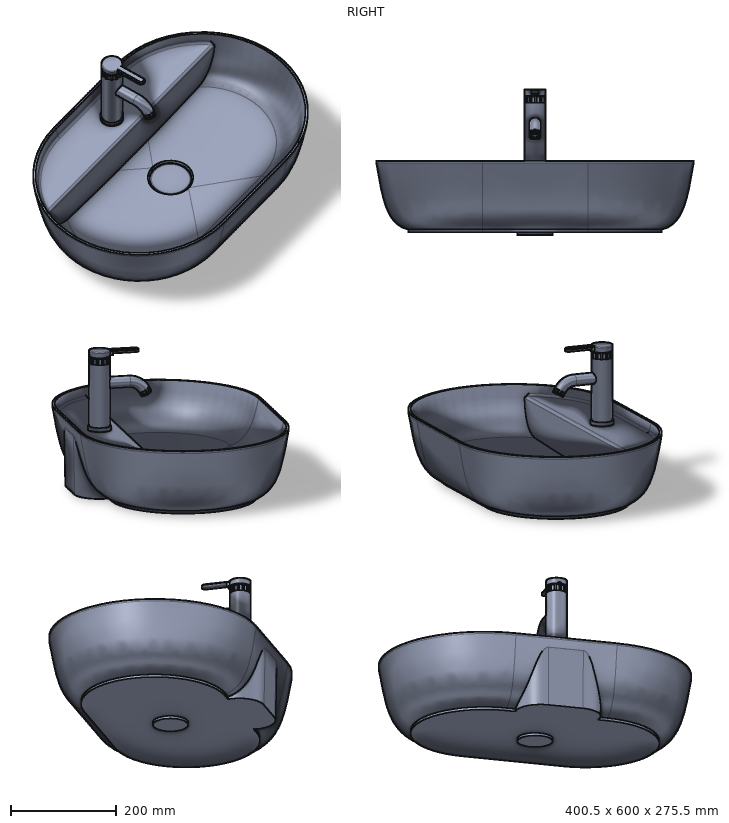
import cadquery as cq
import math

BASIN_LENGTH = 600.0
BASIN_WIDTH = 400.5
BASIN_HEIGHT = 135.0
END_RADIUS = BASIN_WIDTH / 2
END_CENTRE = BASIN_LENGTH / 2 - END_RADIUS

RIM_WIDTH = 5.0
RIM_BAND = 3.5
FOOT_INSET = 60.5
FOOT_HEIGHT = 5.5

OUTER_WALL = [(3.5, 110.0), (9.0, 83.0), (18.5, 48.0), (33.5, 21.5), (46.0, 11.0)]
INNER_WALL = [(9.5, 115.0), (20.0, 84.0), (36.0, 60.0)]
FLOOR_INSET = 60.0
FLOOR_EDGE_HEIGHT = 47.0

SHELF_HEIGHT = 115.0
SHELF_FRONT = -93.0
SHELF_FRONT_FOOT = -85.0
SHELF_EDGE_RADIUS = 5.5

PEDESTAL_FOOT_X = -195.0
PEDESTAL_TOP_X = -197.5
PEDESTAL_FRONT_X = -132.0
PEDESTAL_WIDTH = 164.5
PEDESTAL_CORNER_RADIUS = 48.0

DRAIN_DIAMETER = 79.0
DRAIN_TOP = 34.0
DRAIN_DISC_HEIGHT = 9.0
DRAIN_EDGE = 3.0
DRAIN_MOUTH_DIAMETER = 86.0
DRAIN_MOUTH_HEIGHT = 37.0
MOUTH_STRAIGHT = 0.5
TAIL_DIAMETER = 66.5
TAIL_DROP = 5.5

TAP_X = -138.0
TAP_DIAMETER = 40.0
TAP_TOP = 256.0
TAP_SOCKET_DIAMETER = 36.5
TAP_SLOT_DEPTH = 11.5
TAP_SLOT_WIDTH = 3.5
TAP_SLOT_COUNT = 12
TAP_SLOT_PHASE = 5.0

BASE_RING_DIAMETER = 44.0
BASE_RING_HEIGHT = 8.0
BASE_RING_EDGE = 1.0

CAP_BOTTOM = 258.0
CAP_TOP = 270.0
CAP_EDGE = 2.0
NOTCH_DIAMETER = 6.0
NOTCH_DEPTH = 6.0
LEVER_WIDTH = 15.0
LEVER_THICKNESS = 7.0
LEVER_EDGE = 2.5
LEVER_TIP_X = -62.0
LEVER_ROOT_X = -113.5
LEVER_ROOT_DROP = 3.0

SPOUT_DIAMETER = 22.0
SPOUT_HEIGHT = 206.0
SPOUT_START_X = -126.0
SPOUT_BEND_X = -80.5
SPOUT_BEND_RADIUS = 33.0
SPOUT_BEND_ANGLE = 60.0
SPOUT_TAIL = 6.0
SPOUT_SLOT_DEPTH = 5.5
SPOUT_SLOT_WIDTH = 2.5
SPOUT_SLOT_COUNT = 8

AERATOR_DIAMETER = 17.5
AERATOR_BORE = 16.0
AERATOR_BORE_DEPTH = 2.5
AERATOR_LIP = 3.5


def cylinder(diameter, bottom, top, x=0.0):
    """Upright cylinder on the XZ symmetry plane."""
    return cq.Workplane("XY", origin=(x, 0, bottom)).circle(diameter / 2).extrude(top - bottom)


def stadium_solid(half_section):
    """Carry a half section round a stadium: a straight run and two half turns."""
    end_plane = cq.Workplane("XZ", origin=(0, END_CENTRE, 0))
    half_run = half_section(end_plane).extrude(2 * END_CENTRE)
    end_turn = half_section(end_plane).revolve(180, (0, 0), (0, 1))
    return half_run.union(half_run.mirror("YZ")).union(end_turn).union(end_turn.mirror("XZ"))


def inset_points(curve):
    """Turn (inset, height) pairs into (distance from the stadium axis, height) points."""
    return [(END_RADIUS - inset, height) for inset, height in curve]


def outer_section(plane):
    foot = END_RADIUS - FOOT_INSET
    return (
        plane.moveTo(0, 0)
        .lineTo(foot, 0)
        .lineTo(foot, FOOT_HEIGHT)
        .spline(
            inset_points(OUTER_WALL[::-1]) + [(END_RADIUS, BASIN_HEIGHT - RIM_BAND)],
            includeCurrent=True,
        )
        .lineTo(END_RADIUS, BASIN_HEIGHT)
        .lineTo(0, BASIN_HEIGHT)
        .close()
    )


def inner_section(plane):
    floor_edge = END_RADIUS - FLOOR_INSET
    return (
        plane.moveTo(0, FLOOR_EDGE_HEIGHT)
        .lineTo(floor_edge, FLOOR_EDGE_HEIGHT)
        .spline(
            inset_points(INNER_WALL[::-1]) + [(END_RADIUS - RIM_WIDTH, BASIN_HEIGHT)],
            includeCurrent=True,
        )
        .lineTo(0, BASIN_HEIGHT)
        .close()
    )


def rounded_outline(radius, half_straight, height):
    """Closed outline of two half circles joined by two straight sides."""
    return (
        cq.Workplane("XY", origin=(0, 0, height))
        .moveTo(radius, -half_straight)
        .lineTo(radius, half_straight)
        .threePointArc((0, half_straight + radius), (-radius, half_straight))
        .lineTo(-radius, -half_straight)
        .threePointArc((0, -half_straight - radius), (radius, -half_straight))
        .close()
        .val()
    )


def bowl_floor():
    """Floor that falls from the stadium wall to the nearly round drain mouth."""
    edge = rounded_outline(END_RADIUS - FLOOR_INSET, END_CENTRE, FLOOR_EDGE_HEIGHT)
    mouth = rounded_outline(DRAIN_MOUTH_DIAMETER / 2 - MOUTH_STRAIGHT, MOUTH_STRAIGHT, DRAIN_MOUTH_HEIGHT)
    return cq.Workplane(cq.Solid.makeLoft([mouth, edge], True))


def shelf_block():
    return (
        cq.Workplane("XZ", origin=(0, BASIN_LENGTH / 2, 0))
        .moveTo(-END_RADIUS, 0)
        .lineTo(SHELF_FRONT_FOOT, 0)
        .lineTo(SHELF_FRONT, SHELF_HEIGHT)
        .lineTo(-END_RADIUS, SHELF_HEIGHT)
        .close()
        .extrude(BASIN_LENGTH)
    )


def back_pedestal():
    """Block with a slightly leaning back face and large rounded back corners."""
    return (
        cq.Workplane("XZ", origin=(0, PEDESTAL_WIDTH / 2, 0))
        .moveTo(PEDESTAL_FOOT_X, 0)
        .lineTo(PEDESTAL_TOP_X, SHELF_HEIGHT)
        .lineTo(PEDESTAL_FRONT_X, SHELF_HEIGHT)
        .lineTo(PEDESTAL_FRONT_X, 0)
        .close()
        .extrude(PEDESTAL_WIDTH)
        .faces("<X")
        .edges("not |Y")
        .fillet(PEDESTAL_CORNER_RADIUS)
    )


def drain_hole():
    disc_bottom = DRAIN_TOP - DRAIN_DISC_HEIGHT
    seat = cylinder(DRAIN_DIAMETER, disc_bottom, DRAIN_MOUTH_HEIGHT)
    mouth_cone = (
        cq.Workplane("XY", origin=(0, 0, DRAIN_TOP))
        .circle(DRAIN_DIAMETER / 2)
        .workplane(offset=DRAIN_MOUTH_HEIGHT - DRAIN_TOP)
        .circle(DRAIN_MOUTH_DIAMETER / 2)
        .loft()
    )
    return seat.union(mouth_cone).union(cylinder(TAIL_DIAMETER, 0, disc_bottom))


def bowl_cavity():
    """Space inside the basin, with the shelf left standing and its outline rounded."""
    cavity = stadium_solid(inner_section).union(bowl_floor()).cut(shelf_block())
    shelf_centre = (TAP_X, 0, SHELF_HEIGHT)
    shelf_face = cavity.faces(cq.selectors.NearestToPointSelector(shelf_centre))
    return shelf_face.edges().fillet(SHELF_EDGE_RADIUS)


def make_basin():
    shell = stadium_solid(outer_section).union(back_pedestal())
    return shell.cut(bowl_cavity()).cut(drain_hole())


def make_drain():
    disc_bottom = DRAIN_TOP - DRAIN_DISC_HEIGHT
    disc = cylinder(DRAIN_DIAMETER, disc_bottom, DRAIN_TOP).faces(">Z").edges().fillet(DRAIN_EDGE)
    return disc.union(cylinder(TAIL_DIAMETER, -TAIL_DROP, disc_bottom))


def make_base_ring():
    ring = cylinder(BASE_RING_DIAMETER, SHELF_HEIGHT, SHELF_HEIGHT + BASE_RING_HEIGHT, TAP_X)
    ring = ring.faces(">Z").edges().fillet(BASE_RING_EDGE)
    return ring.cut(cylinder(TAP_DIAMETER, SHELF_HEIGHT, SHELF_HEIGHT + BASE_RING_HEIGHT, TAP_X))


def radial_slots(count, phase, length, width, depth):
    """Ring of slot cutters that reach down from the XY plane, starting at the Z axis."""
    slots = cq.Workplane("XY")
    for index in range(count):
        slot = cq.Workplane("XY", origin=(0, 0, -depth)).box(length, width, depth, centered=(False, True, False))
        slots = slots.add(slot.rotate((0, 0, 0), (0, 0, 1), phase + index * 360 / count))
    return slots.combine()


def bend_point(angle):
    """Point (x, z) on the spout centre line after it has turned down by an angle in degrees."""
    turn = math.radians(angle)
    x = SPOUT_BEND_X + SPOUT_BEND_RADIUS * math.sin(turn)
    z = SPOUT_HEIGHT - SPOUT_BEND_RADIUS * (1 - math.cos(turn))
    return x, z


def outlet_point():
    """Point (x, z) where the spout centre line ends."""
    x, z = bend_point(SPOUT_BEND_ANGLE)
    turn = math.radians(SPOUT_BEND_ANGLE)
    return x + SPOUT_TAIL * math.cos(turn), z - SPOUT_TAIL * math.sin(turn)


def spout_circle():
    """Cross-section of the spout at its inner end, inside the tap body."""
    return cq.Workplane("YZ", origin=(SPOUT_START_X, 0, SPOUT_HEIGHT)).circle(SPOUT_DIAMETER / 2)


def make_tap_body():
    socket_floor = TAP_TOP - TAP_SLOT_DEPTH
    slots = radial_slots(TAP_SLOT_COUNT, TAP_SLOT_PHASE, TAP_DIAMETER, TAP_SLOT_WIDTH, TAP_SLOT_DEPTH)
    spout_seat = spout_circle().extrude(TAP_DIAMETER)
    return (
        cylinder(TAP_DIAMETER, SHELF_HEIGHT, TAP_TOP, TAP_X)
        .cut(cylinder(TAP_SOCKET_DIAMETER, socket_floor, TAP_TOP, TAP_X))
        .cut(slots.translate((TAP_X, 0, TAP_TOP)))
        .cut(spout_seat)
    )


def make_cartridge():
    """Core that fills the slotted socket of the tap body and carries the cap."""
    return cylinder(TAP_SOCKET_DIAMETER, TAP_TOP - TAP_SLOT_DEPTH, CAP_BOTTOM, TAP_X)


def make_handle():
    """Cap and lever in one piece, with a small round notch low on the back of the cap."""
    cap = cylinder(TAP_DIAMETER, CAP_BOTTOM, CAP_TOP, TAP_X).faces(">Z").edges().fillet(CAP_EDGE)
    lever_length = LEVER_TIP_X - TAP_X
    lever = (
        cq.Workplane("XY", origin=(TAP_X, 0, CAP_TOP - LEVER_THICKNESS))
        .center(lever_length / 2, 0)
        .slot2D(lever_length, LEVER_WIDTH)
        .extrude(LEVER_THICKNESS)
        .faces(">Z")
        .edges()
        .chamfer(LEVER_EDGE)
        .faces("<Z")
        .edges()
        .fillet(LEVER_EDGE)
    )
    root_bottom = CAP_TOP - LEVER_THICKNESS - LEVER_ROOT_DROP
    root_height = LEVER_THICKNESS / 2 + LEVER_ROOT_DROP
    root = cq.Workplane("XY", origin=(TAP_X, 0, root_bottom)).box(
        LEVER_ROOT_X - TAP_X, LEVER_WIDTH, root_height, centered=(False, True, False)
    )
    notch = cq.Workplane("YZ", origin=(TAP_X - TAP_DIAMETER / 2, 0, CAP_BOTTOM)).circle(NOTCH_DIAMETER / 2)
    return cap.union(lever).union(root).cut(notch.extrude(NOTCH_DEPTH))


def at_spout_end(body):
    """Move a body from the origin so that its Z axis runs back up the end of the spout."""
    outlet_x, outlet_z = outlet_point()
    return body.rotate((0, 0, 0), (0, 1, 0), SPOUT_BEND_ANGLE - 90).translate((outlet_x, 0, outlet_z))


def make_spout():
    path = (
        cq.Workplane("XZ")
        .moveTo(SPOUT_START_X, SPOUT_HEIGHT)
        .lineTo(SPOUT_BEND_X, SPOUT_HEIGHT)
        .threePointArc(bend_point(SPOUT_BEND_ANGLE / 2), bend_point(SPOUT_BEND_ANGLE))
        .lineTo(*outlet_point())
    )
    pipe = spout_circle().sweep(path)
    socket = cylinder(AERATOR_DIAMETER, 0, SPOUT_SLOT_DEPTH)
    slots = radial_slots(SPOUT_SLOT_COUNT, 0, SPOUT_DIAMETER, SPOUT_SLOT_WIDTH, SPOUT_SLOT_DEPTH)
    pockets = socket.union(slots.translate((0, 0, SPOUT_SLOT_DEPTH)))
    return pipe.cut(at_spout_end(pockets))


def make_aerator():
    plug = cylinder(AERATOR_DIAMETER, 0, SPOUT_SLOT_DEPTH)
    lip = cylinder(SPOUT_DIAMETER, -AERATOR_LIP, 0)
    bore = cylinder(AERATOR_BORE, -AERATOR_LIP, AERATOR_BORE_DEPTH - AERATOR_LIP)
    return at_spout_end(plug.union(lip).cut(bore))


basin = make_basin()
drain = make_drain()
base_ring = make_base_ring()
tap_body = make_tap_body()
cartridge = make_cartridge()
handle = make_handle()
spout = make_spout()
aerator = make_aerator()

result = cq.Compound.makeCompound(
    [
        basin.val(),
        drain.val(),
        base_ring.val(),
        tap_body.val(),
        cartridge.val(),
        handle.val(),
        spout.val(),
        aerator.val(),
    ]
)